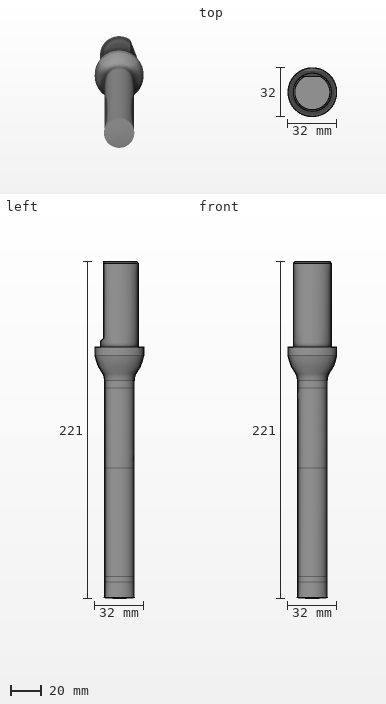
import cadquery as cq
import math


flange_diameter = 32.0
shank_diameter = 24.99
stem_diameter = 19.5
waist_diameter = 19.3
tip_diameter = 20.0

shank_length = 56.0
shank_chamfer = 1.0
flat_offset = 10.3
flat_bottom = 5.8
cutter_margin = 1.0

flange_thickness = 5.5
neck_end = 22.0
upper_taper_start = 26.7
upper_taper_end = 79.3
lower_taper_start = 150.5
lower_taper_end = 154.0
drill_length = 165.0
tip_height = 0.7

neck_belly_radius = 13.7
neck_belly_depth = 12.9
neck_top_angle = 15.0

flange_radius = flange_diameter / 2
shank_radius = shank_diameter / 2
stem_radius = stem_diameter / 2
waist_radius = waist_diameter / 2
tip_radius = tip_diameter / 2
body_end = drill_length - tip_height


def make_turned_body():
    neck_points = [(neck_belly_radius, -neck_belly_depth), (flange_radius, -flange_thickness)]
    top_angle = math.radians(neck_top_angle)
    stem_direction = (0, 1)
    flange_direction = (math.sin(top_angle), math.cos(top_angle))
    profile = (
        cq.Workplane("XZ")
        .moveTo(0, -body_end)
        .lineTo(stem_radius, -body_end)
        .lineTo(stem_radius, -lower_taper_end)
        .lineTo(waist_radius, -lower_taper_start)
        .lineTo(waist_radius, -upper_taper_end)
        .lineTo(stem_radius, -upper_taper_start)
        .lineTo(stem_radius, -neck_end)
        .spline(neck_points, tangents=[stem_direction, flange_direction], includeCurrent=True)
        .lineTo(flange_radius, 0)
        .lineTo(shank_radius, 0)
        .lineTo(shank_radius, shank_length - shank_chamfer)
        .lineTo(shank_radius - shank_chamfer, shank_length)
        .lineTo(0, shank_length)
        .close()
    )
    return profile.revolve(360, (0, 0, 0), (0, 1, 0))


def make_flat_cutter():
    """Material removed for the flat on the +Y side, with a 45-degree run-out at its lower end."""
    reach = shank_radius + cutter_margin - flat_offset
    return (
        cq.Workplane("YZ")
        .moveTo(flat_offset, flat_bottom)
        .lineTo(flat_offset + reach, flat_bottom - reach)
        .lineTo(flat_offset + reach, shank_length)
        .lineTo(flat_offset, shank_length)
        .close()
        .extrude(shank_radius, both=True)
    )


def make_cutting_tip():
    """Shallow cone that overhangs the end of the stem."""
    profile = (
        cq.Workplane("XZ")
        .moveTo(0, -body_end)
        .lineTo(tip_radius, -body_end)
        .lineTo(0, -drill_length)
        .close()
    )
    return profile.revolve(360, (0, 0, 0), (0, 1, 0))


drill_body = make_turned_body().cut(make_flat_cutter())
cutting_tip = make_cutting_tip()

result = cq.Compound.makeCompound([drill_body.val(), cutting_tip.val()])